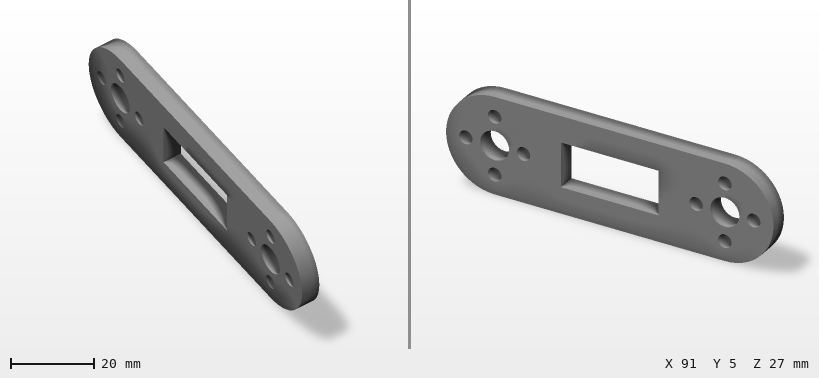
import cadquery as cq

length = 91.0
height = 27.0
thickness = 5.0

window_length = 27.1
window_height = 12.4

center_hole_diameter = 8.0
screw_hole_diameter = 3.7
screw_circle_radius = 8.0
screw_count = 4

end_center_x = (length - height) / 2


def through_holes(plane, diameter):
    """Cylinders through the full plate at the points placed on the workplane."""
    return plane.circle(diameter / 2).extrude(thickness / 2, both=True)


def end_hole_pattern(center_x):
    """Large central hole with a ring of screw holes around it."""
    plane = cq.Workplane("XZ").center(center_x, 0)
    center_hole = through_holes(plane, center_hole_diameter)
    screw_ring = plane.polarArray(screw_circle_radius, 0, 360, screw_count)
    return center_hole.union(through_holes(screw_ring, screw_hole_diameter))


plate = cq.Workplane("XZ").slot2D(length, height).extrude(thickness / 2, both=True)
window = cq.Workplane("XZ").box(window_length, window_height, thickness)

result = plate.cut(window)
for center_x in (-end_center_x, end_center_x):
    result = result.cut(end_hole_pattern(center_x))